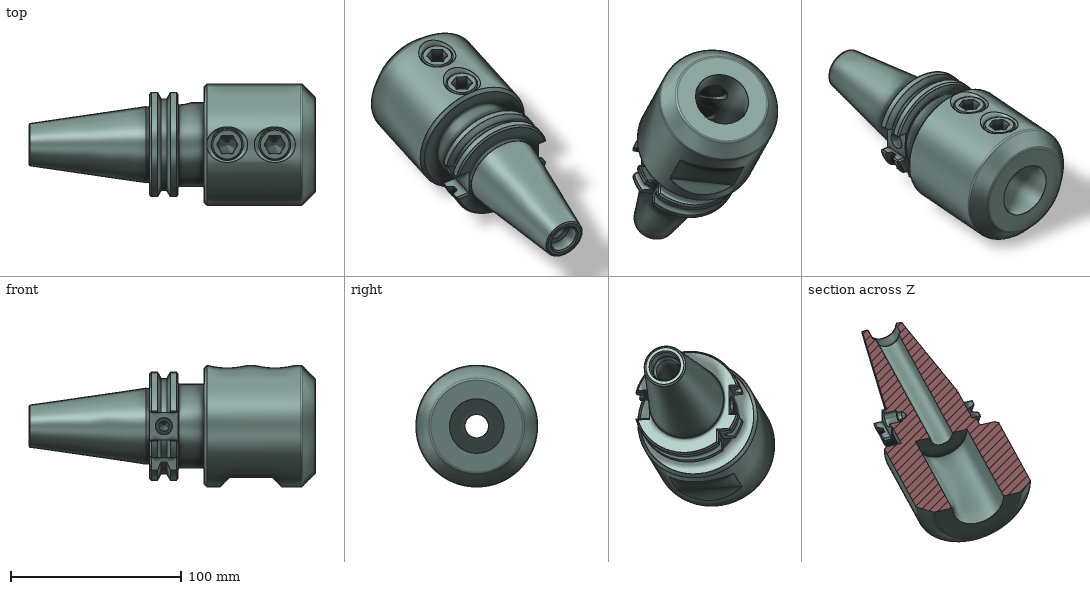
import cadquery as cq
import math

TOTAL_LENGTH = 168.2

GAUGE_X = 68.8
GAUGE_RADIUS = 22.4
TAPER_SLOPE = 3.5 / 24
TIP_CHAMFER_LENGTH = 0.5
TIP_CHAMFER_HEIGHT = 1.0
UNDERCUT_RADIUS = 22.2

FLANGE_START_X = 70.8
FLANGE_END_X = 87.5
FLANGE_RADIUS = 31.8
FLANGE_CHAMFER = 1.0
GROOVE_CENTRE_X = 79.2
GROOVE_RADIUS = 28.1
GROOVE_FLOOR_HALF_WIDTH = 1.7
GROOVE_WALL_ANGLE = 30.0
SLOT_WIDTH = 16.2
FRONT_SLOT_FLOOR = 25.0
BACK_SLOT_FLOOR = 22.5
NOTCH_OFFSET = 18.5
COUNTERBORE_DIAMETER = 10.0
COUNTERBORE_DEPTH = 7.5
BLIND_HOLE_DIAMETER = 6.0
BLIND_HOLE_DEPTH = 10.1

NECK_RADIUS = 24.7
CORNER_FILLET = 0.5
COLLAR_START_X = 102.8
COLLAR_DIAMETER = 71.5
COLLAR_RADIUS = COLLAR_DIAMETER / 2
COLLAR_BACK_CHAMFER = 1.9
NOSE_CHAMFER = 8.0
NOSE_FILLET = 1.7

RELIEF_FLOOR = 30.1
RELIEF_FLOOR_LENGTH = 25.4

PILOT_DIAMETER = 17.0
PILOT_MOUTH_CHAMFER = 0.8
PILOT_DEPTH = 8.4
DRAWBAR_DIAMETER = 13.8
SHANK_BORE_DIAMETER = 32.0
SHANK_BORE_DEPTH = 64.0

SCREW_MIDDLE_X = 130.4
SCREW_SPACING = 28.0
SCREW_DIAMETER = 20.0
SCREW_FACE_DIAMETER = 17.0
SCREW_TOP_Z = 33.8
SCREW_LENGTH = 16.8
SCREW_HOLE_DIAMETER = 17.8
COUNTERSINK_DIAMETER = 24.0
HEX_ACROSS_FLATS = 10.6
HEX_DEPTH = 9.3
HEX_TURN = 30.0

DRILL_POINT_HALF_ANGLE = 59.0
CLEARANCE = 8.4

slot_half_width = SLOT_WIDTH / 2
arc_rise = 1 - math.sqrt(0.5)
screw_positions = [SCREW_MIDDLE_X + side * SCREW_SPACING / 2 for side in (-1, 1)]


def cone(top_radius, height):
    """Cone with its base on Z = 0 and its point below."""
    return (
        cq.Workplane("XZ")
        .polyline([(0, 0), (top_radius, 0), (0, -height)])
        .close()
        .revolve(360, (0, 0, 0), (0, 1, 0))
    )


def drill_point(diameter):
    radius = diameter / 2
    return cone(radius, radius / math.tan(math.radians(DRILL_POINT_HALF_ANGLE)))


def turned_blank():
    tip_radius = GAUGE_RADIUS - TAPER_SLOPE * GAUGE_X
    groove_depth = FLANGE_RADIUS - GROOVE_RADIUS
    groove_top_half = (
        GROOVE_FLOOR_HALF_WIDTH + groove_depth * math.tan(math.radians(GROOVE_WALL_ANGLE))
    )
    chamfered_rim = FLANGE_RADIUS - FLANGE_CHAMFER
    fillet_radius = NECK_RADIUS + CORNER_FILLET
    fillet_middle = CORNER_FILLET * arc_rise
    profile = (
        cq.Workplane("XY")
        .moveTo(0, 0)
        .lineTo(0, tip_radius - TIP_CHAMFER_HEIGHT)
        .lineTo(TIP_CHAMFER_LENGTH, tip_radius + TAPER_SLOPE * TIP_CHAMFER_LENGTH)
        .lineTo(GAUGE_X, GAUGE_RADIUS)
        .lineTo(GAUGE_X, UNDERCUT_RADIUS)
        .lineTo(FLANGE_START_X - CORNER_FILLET, UNDERCUT_RADIUS)
        .threePointArc(
            (FLANGE_START_X - fillet_middle, UNDERCUT_RADIUS + fillet_middle),
            (FLANGE_START_X, UNDERCUT_RADIUS + CORNER_FILLET),
        )
        .lineTo(FLANGE_START_X, chamfered_rim)
        .lineTo(FLANGE_START_X + FLANGE_CHAMFER, FLANGE_RADIUS)
        .lineTo(GROOVE_CENTRE_X - groove_top_half, FLANGE_RADIUS)
        .lineTo(GROOVE_CENTRE_X - GROOVE_FLOOR_HALF_WIDTH, GROOVE_RADIUS)
        .lineTo(GROOVE_CENTRE_X + GROOVE_FLOOR_HALF_WIDTH, GROOVE_RADIUS)
        .lineTo(GROOVE_CENTRE_X + groove_top_half, FLANGE_RADIUS)
        .lineTo(FLANGE_END_X - FLANGE_CHAMFER, FLANGE_RADIUS)
        .lineTo(FLANGE_END_X, chamfered_rim)
        .lineTo(FLANGE_END_X, fillet_radius)
        .threePointArc(
            (FLANGE_END_X + fillet_middle, NECK_RADIUS + fillet_middle),
            (FLANGE_END_X + CORNER_FILLET, NECK_RADIUS),
        )
        .lineTo(COLLAR_START_X - CORNER_FILLET, NECK_RADIUS)
        .threePointArc(
            (COLLAR_START_X - fillet_middle, NECK_RADIUS + fillet_middle),
            (COLLAR_START_X, fillet_radius),
        )
        .lineTo(COLLAR_START_X, COLLAR_RADIUS - COLLAR_BACK_CHAMFER)
        .lineTo(COLLAR_START_X + COLLAR_BACK_CHAMFER, COLLAR_RADIUS)
        .lineTo(TOTAL_LENGTH - NOSE_CHAMFER, COLLAR_RADIUS)
        .lineTo(TOTAL_LENGTH, COLLAR_RADIUS - NOSE_CHAMFER)
        .lineTo(TOTAL_LENGTH, 0)
        .close()
    )
    blank = profile.revolve(360, (0, 0, 0), (1, 0, 0))
    nose_cone = blank.faces("%CONE").faces(">X")
    return nose_cone.edges("%CIRCLE").fillet(NOSE_FILLET)


def flared_edge(wall):
    """Wall line across the flange, which widens by the chamfer at both flange faces."""
    return [
        (FLANGE_START_X, wall + FLANGE_CHAMFER),
        (FLANGE_START_X + FLANGE_CHAMFER, wall),
        (FLANGE_END_X - FLANGE_CHAMFER, wall),
        (FLANGE_END_X, wall + FLANGE_CHAMFER),
    ]


def flared_slot():
    """Drive slot through the flange, from the tool axis out to -Y."""
    upper = flared_edge(slot_half_width)
    lower = [(x, -z) for x, z in reversed(upper)]
    return (
        cq.Workplane("XZ")
        .polyline(upper + lower)
        .close()
        .extrude(FLANGE_RADIUS + CLEARANCE)
    )


def beyond(distance):
    """Block around the flange, covering what lies farther than `distance` to the -Y side."""
    return (
        cq.Workplane("XZ", origin=(FLANGE_END_X, -distance, 0))
        .rect(2 * COLLAR_RADIUS, 2 * COLLAR_RADIUS)
        .extrude(FLANGE_RADIUS + CLEARANCE)
    )


def front_slot():
    """Slot on the -Y side, with its walls chamfered where they meet the rim."""
    rim_y = math.sqrt(FLANGE_RADIUS**2 - slot_half_width**2)
    start_y = rim_y - FLANGE_CHAMFER
    outer_y = start_y + CLEARANCE
    outer_half_width = slot_half_width + CLEARANCE
    rim_chamfer = (
        cq.Workplane("YZ", origin=(FLANGE_START_X, 0, 0))
        .polyline(
            [
                (-start_y, slot_half_width),
                (-outer_y, outer_half_width),
                (-outer_y, -outer_half_width),
                (-start_y, -slot_half_width),
            ]
        )
        .close()
        .extrude(FLANGE_END_X - FLANGE_START_X)
    )
    return flared_slot().intersect(beyond(FRONT_SLOT_FLOOR)).union(rim_chamfer)


def back_slot():
    """Deeper slot on the +Y side, which runs out into the neck with a full-round end."""
    round_end = (
        cq.Workplane("XZ", origin=(FLANGE_END_X, 0, 0))
        .circle(slot_half_width)
        .extrude(FLANGE_RADIUS + CLEARANCE)
    )
    slot = flared_slot().union(round_end).intersect(beyond(BACK_SLOT_FLOOR))
    return slot.mirror("XZ")


def corner_notch():
    """Notch at the -Y, -Z corner of the flange, with both walls flared at the flange faces."""
    outer = FLANGE_RADIUS + CLEARANCE
    outline = flared_edge(-NOTCH_OFFSET) + [(FLANGE_END_X, -outer), (FLANGE_START_X, -outer)]
    below_wall = cq.Workplane("XZ").polyline(outline).close().extrude(outer)
    beside_wall = cq.Workplane("XY").polyline(outline).close().extrude(-outer)
    return below_wall.intersect(beside_wall)


def front_slot_hole():
    """Counterbored blind hole in the floor of the -Y slot, with a drilled point."""
    hole = (
        cq.Workplane("XY")
        .circle(COUNTERBORE_DIAMETER / 2)
        .extrude(-COUNTERBORE_DEPTH)
        .union(cq.Workplane("XY").circle(BLIND_HOLE_DIAMETER / 2).extrude(-BLIND_HOLE_DEPTH))
        .union(drill_point(BLIND_HOLE_DIAMETER).translate((0, 0, -BLIND_HOLE_DEPTH)))
    )
    return hole.rotate((0, 0, 0), (1, 0, 0), 90).translate((GROOVE_CENTRE_X, -FRONT_SLOT_FLOOR, 0))


def axial_bores():
    """Pilot and drawbar bore from the taper end, opening into the tool shank bore."""
    pilot_radius = PILOT_DIAMETER / 2
    drawbar_radius = DRAWBAR_DIAMETER / 2
    shank_radius = SHANK_BORE_DIAMETER / 2
    shank_bore_start = TOTAL_LENGTH - SHANK_BORE_DEPTH
    return (
        cq.Workplane("XY")
        .polyline(
            [
                (0, 0),
                (0, pilot_radius + PILOT_MOUTH_CHAMFER),
                (PILOT_MOUTH_CHAMFER, pilot_radius),
                (PILOT_DEPTH, pilot_radius),
                (PILOT_DEPTH + pilot_radius - drawbar_radius, drawbar_radius),
                (shank_bore_start, drawbar_radius),
                (shank_bore_start, shank_radius),
                (TOTAL_LENGTH, shank_radius),
                (TOTAL_LENGTH, 0),
            ]
        )
        .close()
        .revolve(360, (0, 0, 0), (1, 0, 0))
    )


def bottom_relief():
    half_floor = RELIEF_FLOOR_LENGTH / 2
    depth = COLLAR_RADIUS - RELIEF_FLOOR
    return (
        cq.Workplane("XZ", origin=(SCREW_MIDDLE_X, 0, 0))
        .polyline(
            [
                (-half_floor, -RELIEF_FLOOR),
                (half_floor, -RELIEF_FLOOR),
                (half_floor + depth, -COLLAR_RADIUS),
                (-half_floor - depth, -COLLAR_RADIUS),
            ]
        )
        .close()
        .extrude(COLLAR_RADIUS, both=True)
    )


def screw_blank():
    """Outside of a clamp screw on the Z axis, with its top edge chamfered."""
    return (
        cq.Workplane("XY", origin=(0, 0, SCREW_TOP_Z - SCREW_LENGTH))
        .circle(SCREW_DIAMETER / 2)
        .extrude(SCREW_LENGTH)
        .faces(">Z")
        .chamfer((SCREW_DIAMETER - SCREW_FACE_DIAMETER) / 2)
    )


def screw_seat():
    """Countersunk hole down to the shank bore, opened out to take a clamp screw."""
    hole = cq.Workplane("XY").circle(SCREW_HOLE_DIAMETER / 2).extrude(COLLAR_RADIUS)
    cone_radius = COUNTERSINK_DIAMETER / 2
    countersink = cone(cone_radius, cone_radius).translate((0, 0, COLLAR_RADIUS))
    return hole.union(countersink).union(screw_blank())


def make_holder():
    body = turned_blank().cut(front_slot()).cut(back_slot()).cut(corner_notch())
    body = body.cut(front_slot_hole()).cut(axial_bores()).cut(bottom_relief())
    for x in screw_positions:
        body = body.cut(screw_seat().translate((x, 0, 0)))
    return body


def make_screw(x):
    hexagon = (
        cq.Workplane("XY", origin=(0, 0, SCREW_TOP_Z))
        .polygon(6, HEX_ACROSS_FLATS, circumscribed=True)
        .extrude(-HEX_DEPTH)
        .rotate((0, 0, 0), (0, 0, 1), HEX_TURN)
    )
    hex_across_corners = HEX_ACROSS_FLATS / math.cos(math.pi / 6)
    point = drill_point(hex_across_corners).translate((0, 0, SCREW_TOP_Z - HEX_DEPTH))
    return screw_blank().cut(hexagon).cut(point).translate((x, 0, 0))


holder = make_holder()
screws = [make_screw(x) for x in screw_positions]

result = cq.Compound.makeCompound([holder.val(), *[screw.val() for screw in screws]])